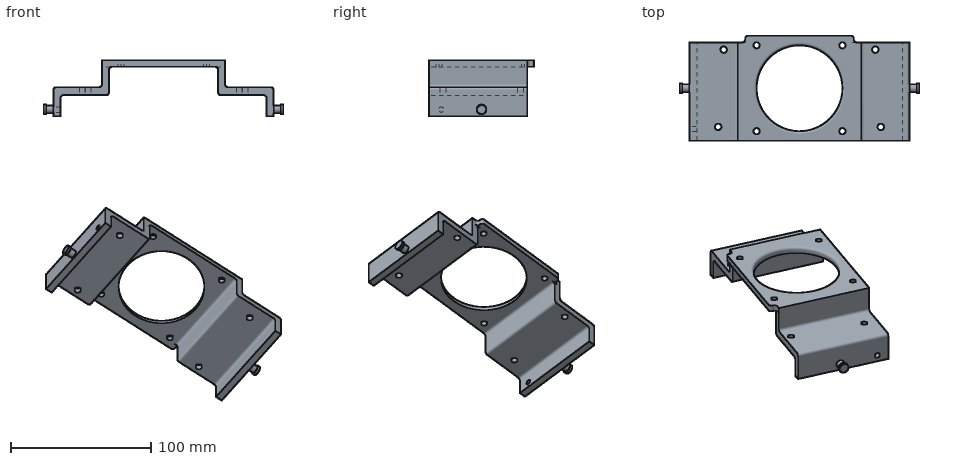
import cadquery as cq

total_length = 171.0
total_depth = 75.0
height = 40.0
body_length = 157.0
tab_depth = 4.8

top_length = 87.9
shelf_height = 20.9
top_thickness = 4.8
shelf_thickness = 5.8
wall_thickness = 5.1
bend_radius = 2.0

tab_length = 77.6
tab_radius = 2.0

opening_diameter = 61.0
opening_round = 2.0
plate_hole_diameter = 4.3
plate_hole_spacing = 61.2
shelf_hole_diameter = 4.5
rear_shelf_hole_x = 54.0
front_shelf_hole_x = 58.0
shelf_hole_y = 27.5
leg_hole_diameter = 3.8
leg_hole_y = -28.9

pin_height = 5.0
pin_diameter = 5.8
pin_head_diameter = 7.0
pin_head_length = 2.0

front_y = -total_depth / 2
body_depth = total_depth - tab_depth
body_back_y = front_y + body_depth
half_body = body_length / 2
half_top = top_length / 2
leg_inside = half_body - wall_thickness
wall_inside = half_top - wall_thickness
shelf_bottom = shelf_height - shelf_thickness
top_bottom = height - top_thickness
pin_length = (total_length - body_length) / 2


def make_body():
    """Extrude the stepped profile along Y and round its bends."""
    right_half = [
        (wall_inside, top_bottom),
        (wall_inside, shelf_bottom),
        (leg_inside, shelf_bottom),
        (leg_inside, 0),
        (half_body, 0),
        (half_body, shelf_height),
        (half_top, shelf_height),
        (half_top, height),
    ]
    left_half = [(-x, z) for x, z in reversed(right_half)]
    body = (
        cq.Workplane("XZ", origin=(0, body_back_y, 0))
        .polyline(right_half + left_half)
        .close()
        .extrude(body_depth)
    )
    rounded_bends = cq.selectors.BoxSelector(
        (-total_length, -total_depth, shelf_bottom / 2),
        (total_length, total_depth, height - top_thickness / 2),
    )
    return body.edges("|Y").edges(rounded_bends).fillet(bend_radius)


def add_tab(body):
    """Extend the top plate rearward, with rounded corners and concave roots."""
    tab = (
        cq.Workplane("XY", origin=(0, 0, top_bottom))
        .rect(tab_length, total_depth)
        .extrude(top_thickness)
        .edges("|Z and >Y")
        .fillet(tab_radius)
    )
    body = body.union(tab)
    tab_roots = cq.selectors.BoxSelector(
        (-half_top + tab_radius, body_back_y - tab_radius / 2, top_bottom - tab_radius),
        (half_top - tab_radius, body_back_y + tab_radius / 2, height + tab_radius),
    )
    return body.edges("|Z").edges(tab_roots).fillet(tab_radius)


def vertical_holes(points, diameter):
    return cq.Workplane("XY").pushPoints(points).circle(diameter / 2).extrude(height)


def cut_openings(body):
    """Cut the rounded fan opening and all mounting holes; only the left leg is drilled."""
    body = body.cut(vertical_holes([(0, 0)], opening_diameter))
    opening_rim = cq.selectors.RadiusNthSelector(-1)
    body = body.faces(">Z").edges("%CIRCLE").edges(opening_rim).fillet(opening_round)

    half_spacing = plate_hole_spacing / 2
    plate_points = [(x, y) for x in (-half_spacing, half_spacing) for y in (-half_spacing, half_spacing)]
    shelf_points = []
    for side in (-1, 1):
        shelf_points.append((side * rear_shelf_hole_x, shelf_hole_y))
        shelf_points.append((side * front_shelf_hole_x, -shelf_hole_y))
    leg_hole = (
        cq.Workplane("YZ", origin=(-half_body, 0, 0))
        .center(leg_hole_y, pin_height)
        .circle(leg_hole_diameter / 2)
        .extrude(wall_thickness)
    )
    body = body.cut(vertical_holes(plate_points, plate_hole_diameter))
    body = body.cut(vertical_holes(shelf_points, shelf_hole_diameter))
    return body.cut(leg_hole)


def make_right_pin():
    stem = (
        cq.Workplane("YZ", origin=(half_body, 0, pin_height))
        .circle(pin_diameter / 2)
        .extrude(pin_length)
    )
    head = (
        cq.Workplane("YZ", origin=(total_length / 2, 0, pin_height))
        .circle(pin_head_diameter / 2)
        .extrude(-pin_head_length)
    )
    return stem.union(head)


right_pin = make_right_pin()
bracket = cut_openings(add_tab(make_body()))
result = bracket.union(right_pin).union(right_pin.mirror("YZ"))